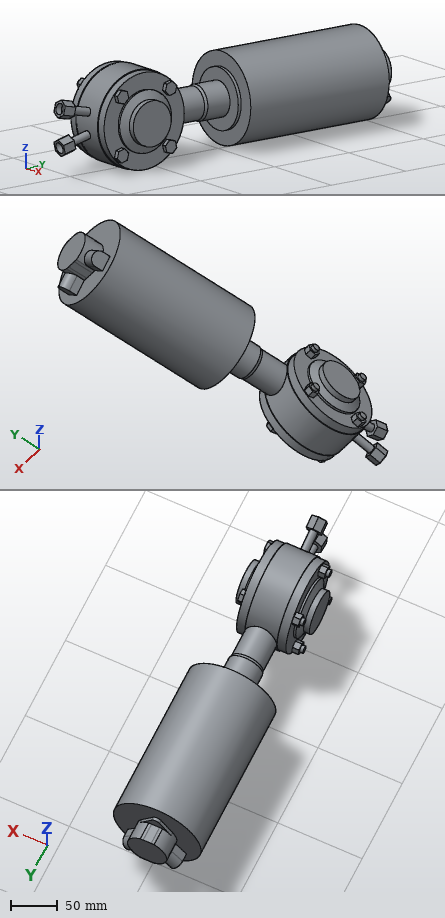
import cadquery as cq
import math


OVERALL_LENGTH = 432.0

BODY_RADIUS = 110.0 / 2
BODY_HALF_WIDTH = 19.0
FLANGE_RADIUS = 54.0
FLANGE_FACE_X = 29.5

HUB_RADIUS = 35.0
HUB_COLLAR_X = 32.0
HUB_CONE_X = 36.5
DISC_RADIUS = 25.5
DISC_END_X = 43.5

BOLT_COUNT = 4
BOLT_FIRST_ANGLE = 45.0
BOLT_CIRCLE_RADIUS = 45.8
BOLT_RADIUS = 4.5
BOLT_TIP_X = -41.0
BOLT_NUT_ACROSS_FLATS = 13.0
BOLT_NUT_THICKNESS = 7.8
BOLT_HEAD_ACROSS_FLATS = 14.0
BOLT_HEAD_THICKNESS = 5.0

SENSOR_ANGLE = 13.3
SENSOR_TUBE_RADIUS = 4.7
SENSOR_END_RADIUS = 94.0
SENSOR_NUT_LENGTH = 14.5
SENSOR_NUT_ACROSS_FLATS = 17.3
SENSOR_BORE_RADIUS = 6.0
SENSOR_BORE_DEPTH = SENSOR_NUT_LENGTH / 2

STEM_RADIUS = 19.0
SLEEVE_RADIUS = 20.5
SLEEVE_TAPER_LENGTH = 3.5
SLEEVE_LENGTH = 30.0
PLATE_RADIUS = 35.0
PLATE_THICKNESS = 4.0
MOTOR_RADIUS = 104.0 / 2
MOTOR_LENGTH = 186.5

KNOB_RADIUS = 23.5
KNOB_HEIGHT = 25.0
KNOB_FLAT_HALF_WIDTH = 4.7
KNOB_SHOULDER_HALF_WIDTH = 8.0
KNOB_EASE_RADIUS = 30.2
POINTER_THICKNESS = 4.0
POINTER_TIP_RADIUS = 6.0
POINTER_TIP_Z = 27.5

LUG_WIDTH = 18.0
LUG_HEIGHT = 19.0
LUG_REACH = 40.0
LUG_SLOPE = 45.0


def hex_diameter(across_flats):
    """Diameter through the corners of a hexagon."""
    return across_flats / math.cos(math.radians(30))


sensor_slope = math.radians(SENSOR_ANGLE)
sensor_corner_radius = hex_diameter(SENSOR_NUT_ACROSS_FLATS) / 2
sensor_tip_y = -(SENSOR_END_RADIUS * math.cos(sensor_slope) + sensor_corner_radius * math.sin(sensor_slope))
knob_end_y = sensor_tip_y + OVERALL_LENGTH
motor_end_y = knob_end_y - KNOB_HEIGHT
motor_start_y = motor_end_y - MOTOR_LENGTH
plate_start_y = motor_start_y - PLATE_THICKNESS
sleeve_start_y = plate_start_y - SLEEVE_LENGTH
taper_start_y = sleeve_start_y - SLEEVE_TAPER_LENGTH


def plane_at_y(y):
    """Sketch plane across the Y axis: local x is +X, local y is +Z, extrusion goes to -Y."""
    return cq.Workplane("XZ", origin=(0, y, 0))


def valve_body():
    """Drum, flanges and hubs turned about the X axis."""
    half_profile = [
        (BODY_HALF_WIDTH, BODY_RADIUS),
        (BODY_HALF_WIDTH, FLANGE_RADIUS),
        (FLANGE_FACE_X, FLANGE_RADIUS),
        (FLANGE_FACE_X, HUB_RADIUS),
        (HUB_COLLAR_X, HUB_RADIUS),
        (HUB_CONE_X, DISC_RADIUS),
        (DISC_END_X, DISC_RADIUS),
        (DISC_END_X, 0),
    ]
    mirrored_half = [(-x, radius) for x, radius in reversed(half_profile)]
    profile = cq.Workplane("XY").polyline(mirrored_half + half_profile).close()
    return profile.revolve(360, (0, 0), (1, 0))


def flange_bolt():
    """One bolt above the X axis, with a hexagon flat facing outwards."""
    def across_x(x):
        return cq.Workplane("YZ", origin=(x, 0, BOLT_CIRCLE_RADIUS))

    nut = across_x(-FLANGE_FACE_X - BOLT_NUT_THICKNESS)
    nut = nut.polygon(6, hex_diameter(BOLT_NUT_ACROSS_FLATS)).extrude(BOLT_NUT_THICKNESS)
    head = across_x(FLANGE_FACE_X)
    head = head.polygon(6, hex_diameter(BOLT_HEAD_ACROSS_FLATS)).extrude(BOLT_HEAD_THICKNESS)
    shank = across_x(BOLT_TIP_X).circle(BOLT_RADIUS).extrude(FLANGE_FACE_X - BOLT_TIP_X)
    return shank.union(nut).union(head)


def sensor(angle):
    """Tube and hollow nut along -Y, then turned about X by the given angle."""
    nut_start_radius = SENSOR_END_RADIUS - SENSOR_NUT_LENGTH
    tube = plane_at_y(0).circle(SENSOR_TUBE_RADIUS).extrude(nut_start_radius)
    nut = plane_at_y(-nut_start_radius).transformed(rotate=(0, 0, 90))
    nut = nut.polygon(6, 2 * sensor_corner_radius).extrude(SENSOR_NUT_LENGTH)
    bore_floor = plane_at_y(SENSOR_BORE_DEPTH - SENSOR_END_RADIUS)
    bore = bore_floor.circle(SENSOR_BORE_RADIUS).extrude(SENSOR_BORE_DEPTH)
    return tube.union(nut.cut(bore)).rotate((0, 0, 0), (1, 0, 0), angle)


def stem_and_motor():
    """Stem, tapered sleeve, plate and motor turned about the Y axis."""
    profile = [
        (0, 0),
        (STEM_RADIUS, 0),
        (STEM_RADIUS, taper_start_y),
        (SLEEVE_RADIUS, sleeve_start_y),
        (SLEEVE_RADIUS, plate_start_y),
        (PLATE_RADIUS, plate_start_y),
        (PLATE_RADIUS, motor_start_y),
        (MOTOR_RADIUS, motor_start_y),
        (MOTOR_RADIUS, motor_end_y),
        (0, motor_end_y),
    ]
    return cq.Workplane("XY").polyline(profile).close().revolve(360, (0, 0), (0, 1))


def knob():
    """Round knob whose top and bottom are flats that ease off sideways in shallow arcs."""
    shoulder_z = math.sqrt(KNOB_RADIUS**2 - KNOB_SHOULDER_HALF_WIDTH**2)
    ease_width = KNOB_SHOULDER_HALF_WIDTH - KNOB_FLAT_HALF_WIDTH
    flat_z = shoulder_z + KNOB_EASE_RADIUS - math.sqrt(KNOB_EASE_RADIUS**2 - ease_width**2)
    outline = (
        plane_at_y(knob_end_y)
        .moveTo(-KNOB_FLAT_HALF_WIDTH, flat_z)
        .lineTo(KNOB_FLAT_HALF_WIDTH, flat_z)
        .tangentArcPoint((KNOB_SHOULDER_HALF_WIDTH, shoulder_z), relative=False)
        .threePointArc((KNOB_RADIUS, 0), (KNOB_SHOULDER_HALF_WIDTH, -shoulder_z))
        .radiusArc((KNOB_FLAT_HALF_WIDTH, -flat_z), KNOB_EASE_RADIUS)
        .lineTo(-KNOB_FLAT_HALF_WIDTH, -flat_z)
        .tangentArcPoint((-KNOB_SHOULDER_HALF_WIDTH, -shoulder_z), relative=False)
        .threePointArc((-KNOB_RADIUS, 0), (-KNOB_SHOULDER_HALF_WIDTH, shoulder_z))
        .radiusArc((-KNOB_FLAT_HALF_WIDTH, flat_z), KNOB_EASE_RADIUS)
    )
    return outline.close().extrude(KNOB_HEIGHT)


def pointer():
    """Plate whose sides leave the knob at a tangent and meet in a rounded tip at +Z."""
    tangent_z = (KNOB_RADIUS - POINTER_TIP_RADIUS) / POINTER_TIP_Z
    tangent_x = math.sqrt(1 - tangent_z**2)
    root = (KNOB_RADIUS * tangent_x, KNOB_RADIUS * tangent_z)
    tip_side = (POINTER_TIP_RADIUS * tangent_x, POINTER_TIP_Z + POINTER_TIP_RADIUS * tangent_z)
    outline = plane_at_y(motor_end_y + POINTER_THICKNESS).moveTo(*root).lineTo(*tip_side)
    outline = outline.threePointArc(
        (0, POINTER_TIP_Z + POINTER_TIP_RADIUS),
        (-tip_side[0], tip_side[1]),
    )
    return outline.lineTo(-root[0], root[1]).close().extrude(POINTER_THICKNESS)


def lug(angle):
    """Round-ended lug reaching out along +X, then turned about Y by the given angle."""
    round_radius = LUG_WIDTH / 2
    round_start_y = motor_end_y + LUG_HEIGHT - round_radius
    outline = cq.Workplane("YZ").moveTo(motor_end_y, -round_radius).lineTo(round_start_y, -round_radius)
    outline = outline.threePointArc(
        (round_start_y + round_radius, 0),
        (round_start_y, round_radius),
    )
    block = outline.lineTo(motor_end_y, round_radius).close().extrude(LUG_REACH)
    return block.rotate((0, 0, 0), (0, 1, 0), angle)


result = valve_body().union(stem_and_motor()).union(knob()).union(pointer())

for index in range(BOLT_COUNT):
    bolt_angle = BOLT_FIRST_ANGLE + index * 360 / BOLT_COUNT
    result = result.union(flange_bolt().rotate((0, 0, 0), (1, 0, 0), bolt_angle))

for side_angle in (SENSOR_ANGLE, -SENSOR_ANGLE):
    result = result.union(sensor(side_angle))

for lug_angle in (LUG_SLOPE, 180 - LUG_SLOPE):
    result = result.union(lug(lug_angle))